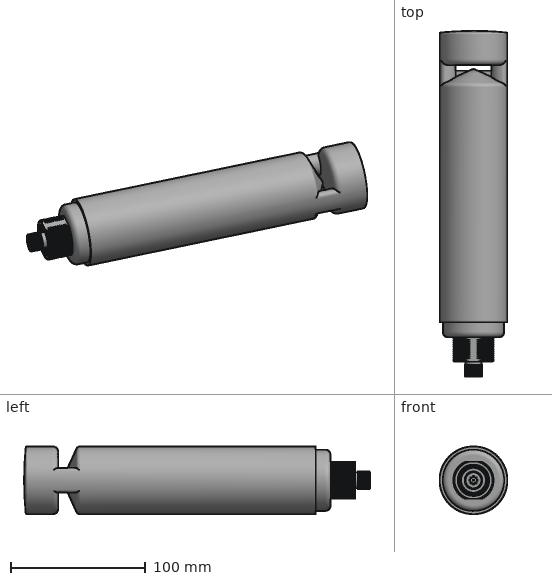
import cadquery as cq
import math

TOTAL_LENGTH = 256.88

BODY_RADIUS = 25.25
BODY_START = 40.4
BODY_EDGE_LENGTH = 1.4
BODY_EDGE_STEP = 0.15
CAP_DOME_HEIGHT = 1.2
CAP_EDGE_RADIUS = 1.4

CAP_FACE_Y = TOTAL_LENGTH - 25.5
CONE_TIP_Y = TOTAL_LENGTH - 28.2
CONE_RIM_Y = TOTAL_LENGTH - 39.7
CAP_LIP_RADIUS = 4.2
CAP_LIP_WIDTH = 3.6
CONE_RIM_RADIUS = 3.0
STRUT_HALF_HEIGHT = 9.2
STRUT_NOSE_X = 13.2
STRUT_EDGE_RADIUS = 3.0
WEB_FRONT_Y = TOTAL_LENGTH - 29.6
WEB_THICKNESS = 1.0
WEB_OVERLAP = 1.0

COLLAR_RADIUS = 22.8
COLLAR_START = 29.3
COLLAR_EDGE_RADIUS = 4.0

STUD_RADIUS = 15.0
STUD_PITCH = 1.5
STUD_THREAD_DEPTH = 0.9
STUD_START = 11.2
STUD_LEAD_IN = 2.0
STUD_FLAT_DISTANCE = 13.8

RECESS_MOUTH_RADIUS = 11.7
RECESS_FLOOR_RADIUS = 9.2
RECESS_STEP_COUNT = 4
RECESS_STEP_DEPTH = 1.0

PLUG_RADIUS = 6.6
PLUG_PITCH = 1.0
PLUG_THREAD_DEPTH = 0.6
PLUG_NECK_LENGTH = 2.2
PLUG_TIP_CHAMFER = 0.7
CONTACT_COUNT = 8
CONTACT_CIRCLE_RADIUS = 2.75
CONTACT_DIAMETER = 1.0
CONTACT_DEPTH = 5.0


def cylinder(radius, y_start, y_end):
    """Round bar along Y between two Y positions."""
    bar = cq.Workplane("XZ", origin=(0, y_start, 0)).circle(radius)
    return bar.extrude(y_start - y_end)


def turn(profile):
    """Revolve a closed profile of (radius, Y) points about the Y axis."""
    return profile.close().revolve(360, (0, 0, 0), (0, 1, 0))


def thread_grooves(radius, depth, pitch, y_start, y_end):
    """V-shaped rings, one per pitch, that turn a plain bar into a ridged thread."""
    root = radius - depth
    count = math.floor((y_end - y_start) / pitch)
    profile = cq.Workplane("XY").moveTo(radius + depth, y_start).lineTo(radius, y_start)
    for index in range(count):
        ridge_y = y_start + index * pitch
        profile = profile.lineTo(root, ridge_y + pitch / 2).lineTo(radius, ridge_y + pitch)
    profile = profile.lineTo(radius + depth, y_start + count * pitch)
    return turn(profile)


def make_tube():
    """Main tube up to the cap, with a shallow domed end."""
    cap_edge_y = TOTAL_LENGTH - CAP_DOME_HEIGHT
    dome_radius = BODY_RADIUS - CAP_EDGE_RADIUS
    dome_curvature_radius = (dome_radius**2 + CAP_DOME_HEIGHT**2) / (2 * CAP_DOME_HEIGHT)
    return turn(
        cq.Workplane("XY")
        .moveTo(0, BODY_START)
        .lineTo(BODY_RADIUS - BODY_EDGE_STEP, BODY_START)
        .lineTo(BODY_RADIUS, BODY_START + BODY_EDGE_LENGTH)
        .lineTo(BODY_RADIUS, cap_edge_y - CAP_EDGE_RADIUS)
        .radiusArc((dome_radius, cap_edge_y), -CAP_EDGE_RADIUS)
        .radiusArc((0, TOTAL_LENGTH), -dome_curvature_radius)
    )


def make_strut(side):
    """Bar along Y: bulged inner nose, rounded edges where it meets the tube; side is +1 or -1."""
    center_radius = BODY_RADIUS - STRUT_EDGE_RADIUS
    center_z = STRUT_HALF_HEIGHT - STRUT_EDGE_RADIUS
    center_x = math.sqrt(center_radius**2 - center_z**2)
    reach = BODY_RADIUS / center_radius
    skin_x = center_x * reach
    skin_z = center_z * reach
    outer_x = 2 * BODY_RADIUS
    y_start = CONE_RIM_Y - BODY_RADIUS
    y_end = CAP_FACE_Y + BODY_RADIUS
    return (
        cq.Workplane("XZ", origin=(0, y_start, 0))
        .moveTo(side * center_x, -STRUT_HALF_HEIGHT)
        .threePointArc((side * STRUT_NOSE_X, 0), (side * center_x, STRUT_HALF_HEIGHT))
        .radiusArc((side * skin_x, skin_z), side * STRUT_EDGE_RADIUS)
        .lineTo(side * outer_x, skin_z)
        .lineTo(side * outer_x, -skin_z)
        .lineTo(side * skin_x, -skin_z)
        .radiusArc((side * center_x, -STRUT_HALF_HEIGHT), side * STRUT_EDGE_RADIUS)
        .close()
        .extrude(y_start - y_end)
    )


def make_window():
    """Ring-shaped gap above the cone, with rounded rims, interrupted by the two struts."""
    slope_angle = math.atan2(CONE_TIP_Y - CONE_RIM_Y, BODY_RADIUS)
    rim_tangent = CONE_RIM_RADIUS * math.tan((math.pi / 2 - slope_angle) / 2)
    rim_inner_radius = BODY_RADIUS - rim_tangent * math.cos(slope_angle)
    rim_inner_y = CONE_RIM_Y + rim_tangent * math.sin(slope_angle)
    rim_outer_y = CONE_RIM_Y - rim_tangent
    lip_outer_y = CAP_FACE_Y + CAP_LIP_RADIUS
    outside_radius = BODY_RADIUS + CAP_LIP_RADIUS
    gap = turn(
        cq.Workplane("XY")
        .moveTo(0, CAP_FACE_Y)
        .lineTo(BODY_RADIUS - CAP_LIP_WIDTH, CAP_FACE_Y)
        .radiusArc((BODY_RADIUS, lip_outer_y), -CAP_LIP_RADIUS)
        .lineTo(outside_radius, lip_outer_y)
        .lineTo(outside_radius, rim_outer_y)
        .lineTo(BODY_RADIUS, rim_outer_y)
        .radiusArc((rim_inner_radius, rim_inner_y), -CONE_RIM_RADIUS)
        .lineTo(0, CONE_TIP_Y)
    )
    for side in (-1, 1):
        gap = gap.cut(make_strut(side))
    return gap


def make_web():
    """Thin plate that joins the cone to both struts."""
    web_length = WEB_FRONT_Y - CONE_RIM_Y
    web_width = 2 * (STRUT_NOSE_X + WEB_OVERLAP)
    web = cq.Workplane("XY").box(web_width, web_length, WEB_THICKNESS)
    return web.translate((0, CONE_RIM_Y + web_length / 2, 0))


def make_collar():
    """Plain round collar with a rounded lower edge."""
    collar = cylinder(COLLAR_RADIUS, COLLAR_START, BODY_START)
    return collar.faces("<Y").edges().fillet(COLLAR_EDGE_RADIUS)


def make_stud():
    """Threaded stud with two opposite flats and a recessed end face."""
    stud = cylinder(STUD_RADIUS, STUD_START, COLLAR_START)
    stud = stud.faces("<Y").edges().chamfer(STUD_THREAD_DEPTH)
    stud = stud.cut(
        thread_grooves(
            STUD_RADIUS, STUD_THREAD_DEPTH, STUD_PITCH, STUD_START + STUD_LEAD_IN, COLLAR_START
        )
    )
    length = COLLAR_START - STUD_START
    flats = cq.Workplane("XY").box(2 * STUD_RADIUS, length, 2 * STUD_FLAT_DISTANCE)
    stud = stud.intersect(flats.translate((0, STUD_START + length / 2, 0)))
    return stud.cut(make_stud_recess())


def make_stud_recess():
    """Funnel of round steps narrowing from the mouth to the floor."""
    step_width = (RECESS_MOUTH_RADIUS - RECESS_FLOOR_RADIUS) / (RECESS_STEP_COUNT - 1)
    recess = cylinder(RECESS_MOUTH_RADIUS, STUD_START, STUD_START + RECESS_STEP_DEPTH)
    for index in range(1, RECESS_STEP_COUNT):
        radius = RECESS_MOUTH_RADIUS - index * step_width
        depth = (index + 1) * RECESS_STEP_DEPTH
        recess = recess.union(cylinder(radius, STUD_START, STUD_START + depth))
    return recess


def make_plug():
    """Threaded connector plug with a plain neck and a ring of contact holes."""
    root_radius = PLUG_RADIUS - PLUG_THREAD_DEPTH
    thread_end = STUD_START - PLUG_NECK_LENGTH
    plug = cylinder(PLUG_RADIUS, 0, thread_end)
    plug = plug.faces("<Y").edges().chamfer(PLUG_TIP_CHAMFER)
    plug = plug.cut(
        thread_grooves(PLUG_RADIUS, PLUG_THREAD_DEPTH, PLUG_PITCH, PLUG_TIP_CHAMFER, thread_end)
    )
    neck_end = STUD_START + RECESS_STEP_COUNT * RECESS_STEP_DEPTH
    plug = plug.union(cylinder(root_radius, thread_end, neck_end))
    contact = cylinder(CONTACT_DIAMETER / 2, 0, CONTACT_DEPTH)
    plug = plug.cut(contact)
    for index in range(CONTACT_COUNT):
        hole = contact.translate((CONTACT_CIRCLE_RADIUS, 0, 0))
        plug = plug.cut(hole.rotate((0, 0, 0), (0, 1, 0), index * 360 / CONTACT_COUNT))
    return plug


result = (
    make_tube()
    .cut(make_window())
    .union(make_web())
    .union(make_collar())
    .union(make_stud())
    .union(make_plug())
)